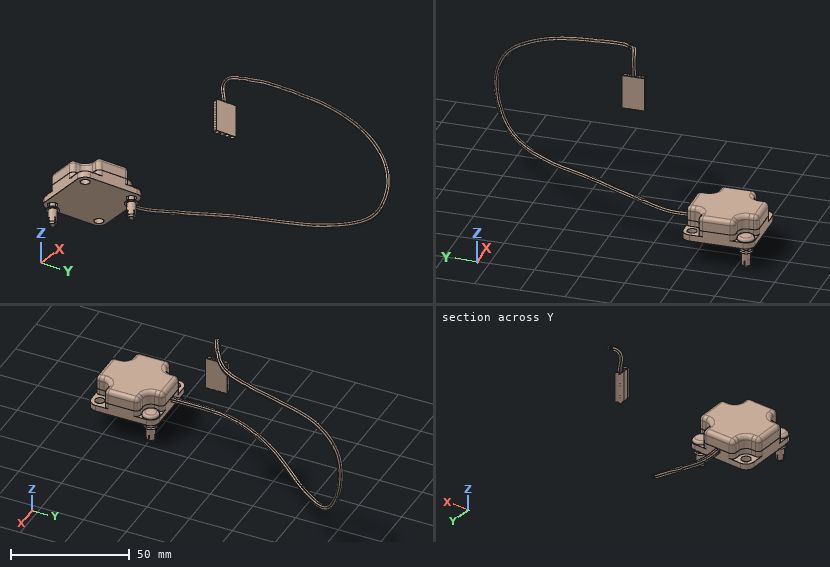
import cadquery as cq
import math

CASE_SIDE = 32.0
CASE_HEIGHT = 12.0
EAR_HEIGHT = 3.0
SPLIT_HEIGHT = 5.7
EAR_RADIUS = 4.0
NOTCH_RADIUS = 3.8
NOTCH_SIDE = EAR_RADIUS + NOTCH_RADIUS
CASE_FILLET = 2.0
HOLE_DIAMETER = 4.2
HOLE_OFFSET = CASE_SIDE / 2 - EAR_RADIUS

HEAD_DIAMETER = 7.6
HEAD_TOP_DIAMETER = 5.0
HEAD_HEIGHT = 1.5
DOME_RISE = 0.2
NECK_DIAMETER = 2.6
NECK_LENGTH = 2.0
FLANGE_DIAMETER = 6.0
FLANGE_TOP_DIAMETER = 5.0
FLANGE_THICKNESS = 0.7
BARREL_DIAMETER = 4.0
BARREL_TIP = -9.9
TIP_TAPER = 0.4
TIP_TAPER_HEIGHT = 1.0
SLOT_WIDTH = 0.3
SLOT_LENGTH = 3.1
SLIT_WIDTH = 0.1
SLIT_LENGTH = 1.6
CORE_DIAMETER = 2.3

PIN_COUNT = 4
PIN_PITCH = 2.6
PIN_HOLE_DIAMETER = 1.9
CONNECTOR_LENGTH = 10.2
CONNECTOR_WIDTH = 2.5
CONNECTOR_HEIGHT = 15.5
CONNECTOR_X = 26.1
CONNECTOR_Y = 50.0
CONNECTOR_TOP = 52.0

WIRE_DIAMETER = 0.98
WIRE_PITCH = 1.03
CABLE_POINTS = [
    (-0.1, CASE_SIDE / 2, 4.6),
    (-0.1, 24.4, 4.6),
    (2.2, 37.0, 6.1),
    (6.4, 50.0, 7.3),
    (11.0, 59.7, 7.6),
    (18.4, 72.9, 6.6),
    (27.8, 85.9, 4.3),
    (35.1, 95.6, 3.4),
    (42.4, 105.5, 4.3),
    (46.2, 111.5, 7.5),
    (48.2, 116.5, 16.3),
    (48.8, 118.3, 25.0),
    (47.5, 116.4, 37.3),
    (46.7, 111.6, 44.4),
    (46.2, 105.0, 49.2),
    (45.8, 89.4, 54.2),
    (43.3, 70.5, 57.0),
    (39.8, 59.7, 59.0),
    (33.0, 53.2, 61.8),
    (30.0, 51.3, 62.9),
    (27.1, 50.3, 62.6),
    (25.5, 49.8, 60.4),
    (25.5, 49.8, 57.6),
    (CONNECTOR_X, CONNECTOR_Y, CONNECTOR_TOP),
]


def case_slab(bottom, top):
    """Square slab as wide as the case, between two heights."""
    return cq.Workplane("XY").workplane(offset=bottom).rect(CASE_SIDE, CASE_SIDE).extrude(top - bottom)


def at_corners(spacing, height):
    """Workplane at a height, holding the four corners of a centred square as points."""
    plane = cq.Workplane("XY").workplane(offset=height)
    return plane.rect(spacing, spacing, forConstruction=True).vertices()


def make_case():
    """Whole case before it is split: raised block on a plate with four drilled ears."""
    plate = case_slab(0, EAR_HEIGHT).edges("|Z").fillet(EAR_RADIUS)
    notches = (
        at_corners(CASE_SIDE, EAR_HEIGHT)
        .rect(2 * NOTCH_SIDE, 2 * NOTCH_SIDE)
        .extrude(CASE_HEIGHT)
        .edges("|Z")
        .fillet(NOTCH_RADIUS)
    )
    block = (
        case_slab(EAR_HEIGHT, CASE_HEIGHT)
        .cut(notches)
        .edges("|Z and (<X or >X or <Y or >Y)")
        .fillet(CASE_FILLET)
        .faces(">Z")
        .edges()
        .fillet(CASE_FILLET)
    )
    ear_holes = at_corners(2 * HOLE_OFFSET, 0).circle(HOLE_DIAMETER / 2).extrude(EAR_HEIGHT)
    return plate.union(block).cut(ear_holes)


def make_base():
    return make_case().intersect(case_slab(0, SPLIT_HEIGHT))


def make_cover():
    return make_case().intersect(case_slab(SPLIT_HEIGHT, CASE_HEIGHT))


def cross_slot(width, bottom, top):
    """Four slots through the barrel wall, in a cross, that stop at the solid core."""
    plane = cq.Workplane("XY").workplane(offset=bottom)
    along_x = plane.rect(BARREL_DIAMETER, width).extrude(top - bottom)
    along_y = plane.rect(width, BARREL_DIAMETER).extrude(top - bottom)
    core = plane.circle(CORE_DIAMETER / 2).extrude(top - bottom)
    return along_x.union(along_y).cut(core)


def make_rivet(x, y):
    """One rivet, turned about its axis, with a slotted tip."""
    head_rim = EAR_HEIGHT + HEAD_HEIGHT
    flange_top = -NECK_LENGTH
    flange_bottom = flange_top - FLANGE_THICKNESS
    shoulder = (HEAD_DIAMETER - HEAD_TOP_DIAMETER) / 2
    arc_inset = shoulder * (1 - math.sqrt(0.5))
    shoulder_middle = (HEAD_DIAMETER / 2 - arc_inset, head_rim - arc_inset)
    dome_edge = HEAD_TOP_DIAMETER / 2
    dome_top = head_rim + DOME_RISE
    dome_radius = (dome_edge**2 + DOME_RISE**2) / (2 * DOME_RISE)
    dome_middle_height = dome_top - dome_radius + math.sqrt(dome_radius**2 - (dome_edge / 2) ** 2)
    rivet = (
        cq.Workplane("XZ")
        .moveTo(0, BARREL_TIP)
        .lineTo(BARREL_DIAMETER / 2 - TIP_TAPER, BARREL_TIP)
        .lineTo(BARREL_DIAMETER / 2, BARREL_TIP + TIP_TAPER_HEIGHT)
        .lineTo(BARREL_DIAMETER / 2, flange_bottom)
        .lineTo(FLANGE_DIAMETER / 2, flange_bottom)
        .lineTo(FLANGE_TOP_DIAMETER / 2, flange_top)
        .lineTo(NECK_DIAMETER / 2, flange_top)
        .lineTo(NECK_DIAMETER / 2, EAR_HEIGHT)
        .lineTo(HEAD_DIAMETER / 2, EAR_HEIGHT)
        .lineTo(HEAD_DIAMETER / 2, head_rim - shoulder)
        .threePointArc(shoulder_middle, (dome_edge, head_rim))
        .threePointArc((dome_edge / 2, dome_middle_height), (0, dome_top))
        .close()
        .revolve(360, (0, 0), (0, 1))
    )
    slit_top = BARREL_TIP + SLIT_LENGTH
    slot_top = BARREL_TIP + SLOT_LENGTH
    rivet = rivet.cut(cross_slot(SLIT_WIDTH, BARREL_TIP, slit_top))
    rivet = rivet.cut(cross_slot(SLOT_WIDTH, slit_top, slot_top))
    return rivet.translate((x, y, 0))


def make_connector():
    block = (
        cq.Workplane("XY")
        .box(CONNECTOR_WIDTH, CONNECTOR_LENGTH, CONNECTOR_HEIGHT)
        .faces(">Z")
        .workplane()
        .rarray(1.4, PIN_PITCH, 1, PIN_COUNT)
        .hole(PIN_HOLE_DIAMETER)
    )
    return block.translate((CONNECTOR_X, CONNECTOR_Y, CONNECTOR_TOP - CONNECTOR_HEIGHT / 2))


def make_wire(x_shift, z_shift):
    """One round wire, held at a fixed place in the bundle along the whole cable curve."""
    path = cq.Workplane("XY").spline(CABLE_POINTS, tangents=[(0, 1, 0), (0, 0, -1)], scale=False)
    start_plane = cq.Plane(CABLE_POINTS[0], (1, 0, 0), (0, 1, 0))
    profile = cq.Workplane(start_plane).center(x_shift, -z_shift).circle(WIRE_DIAMETER / 2)
    return profile.sweep(path)


base = make_base()
cover = make_cover()
rivets = [make_rivet(side * HOLE_OFFSET, side * HOLE_OFFSET) for side in (-1, 1)]
connector = make_connector()
wire_shift = WIRE_PITCH / 2
wires = [make_wire(x, z) for x in (-wire_shift, wire_shift) for z in (-wire_shift, wire_shift)]

result = cq.Compound.makeCompound(
    [body.val() for body in [base, cover, *rivets, connector, *wires]]
)